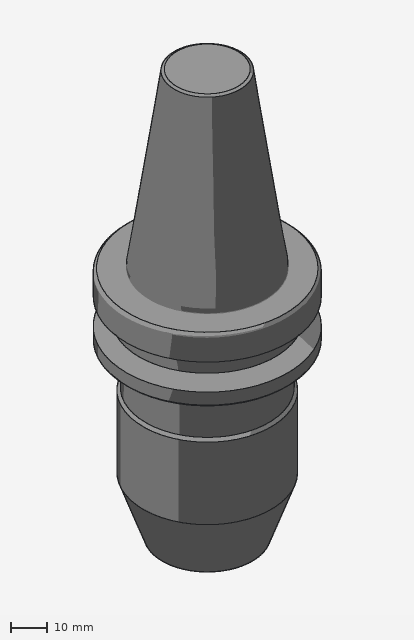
import cadquery as cq
import math

total_height = 157.9
taper_length = 65.4
gauge_plane_z = total_height - taper_length
flange_gap = 2.0
flange_top_z = gauge_plane_z - flange_gap
flange_height = 25.0
flange_bottom_z = flange_top_z - flange_height

taper_ratio = 7 / 24
gauge_radius = 22.3
shank_end_radius = gauge_radius - taper_length * taper_ratio / 2
shank_chamfer_height = 0.5
shank_chamfer_width = 1.0
collar_fillet = 0.5

flange_diameter = 63.0
flange_radius = flange_diameter / 2
flange_chamfer = 1.0
flange_corner_blend = 0.8
groove_floor_radius = 26.5
groove_floor_width = 4.5
groove_wall_angle = 30
groove_wall_height = (flange_radius - groove_floor_radius) * math.tan(math.radians(groove_wall_angle))
groove_center_offset = 14.5
groove_center_z = flange_top_z - groove_center_offset
cutter_overrun = 1.6

neck_radius = 24.0
sleeve_radius = 25.0
sleeve_top_z = 50.2
sleeve_chamfer = sleeve_radius - neck_radius
nose_height = 21.3
nose_end_radius = 17.5


def revolve_profile(outline):
    """Revolve a closed outline of (radius, z) points about the Z axis."""
    return cq.Workplane("XZ").polyline(outline).close().revolve(360, (0, 0), (0, 1))


def make_shank():
    """Taper shank with a chamfered end and a straight collar filleted into the flange."""
    chamfer_z = total_height - shank_chamfer_height
    chamfer_radius = shank_end_radius + shank_chamfer_height * taper_ratio / 2
    arc_inset = collar_fillet * (1 - math.sqrt(0.5))
    return (
        cq.Workplane("XZ")
        .moveTo(0, flange_top_z)
        .lineTo(gauge_radius + collar_fillet, flange_top_z)
        .threePointArc(
            (gauge_radius + arc_inset, flange_top_z + arc_inset),
            (gauge_radius, flange_top_z + collar_fillet),
        )
        .lineTo(gauge_radius, gauge_plane_z)
        .lineTo(chamfer_radius, chamfer_z)
        .lineTo(chamfer_radius - shank_chamfer_width, total_height)
        .lineTo(0, total_height)
        .close()
        .revolve(360, (0, 0), (0, 1))
    )


def make_flange():
    """Chamfered disc, upper rim softened, with the gripper groove cut around it."""
    disc = (
        cq.Workplane("XY")
        .workplane(offset=flange_bottom_z)
        .circle(flange_radius)
        .extrude(flange_height)
        .edges()
        .chamfer(flange_chamfer)
    )
    disc = disc.edges(">>Z[-3]").fillet(flange_corner_blend)
    floor_half = groove_floor_width / 2
    mouth_half = floor_half + groove_wall_height
    groove = revolve_profile([
        (groove_floor_radius, groove_center_z - floor_half),
        (flange_radius, groove_center_z - mouth_half),
        (flange_radius + cutter_overrun, groove_center_z - mouth_half),
        (flange_radius + cutter_overrun, groove_center_z + mouth_half),
        (flange_radius, groove_center_z + mouth_half),
        (groove_floor_radius, groove_center_z + floor_half),
    ])
    return disc.cut(groove)


def make_body():
    """Neck, sleeve and conical nose below the flange."""
    return revolve_profile([
        (0, 0),
        (nose_end_radius, 0),
        (sleeve_radius, nose_height),
        (sleeve_radius, sleeve_top_z - sleeve_chamfer),
        (neck_radius, sleeve_top_z),
        (neck_radius, flange_bottom_z),
        (0, flange_bottom_z),
    ])


result = make_body().union(make_flange()).union(make_shank())